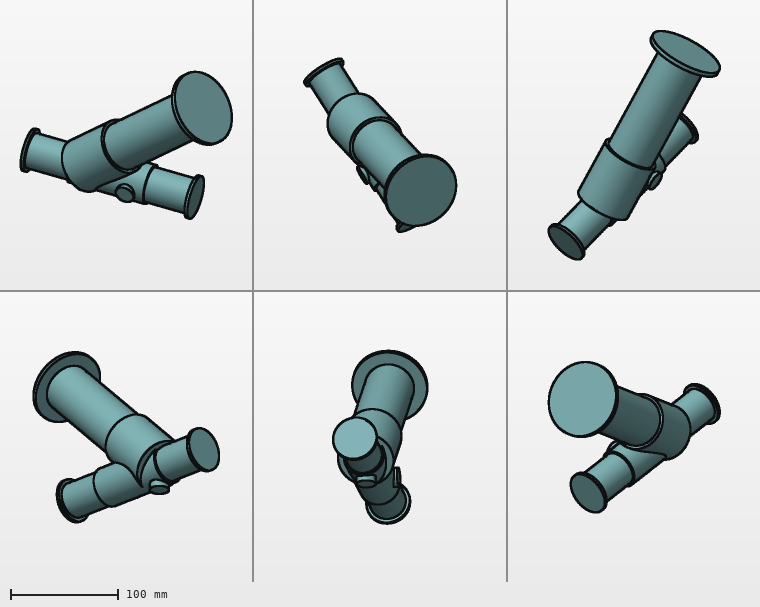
import cadquery as cq
import math

RUN_LENGTH = 167.0
RUN_DIAMETER = 34.0
END_FLANGE_DIAMETER = 41.0
END_FLANGE_THICKNESS = 3.0
BODY_DIAMETER = 38.0
BODY_START = 45.7
BODY_LENGTH = 76.2

OVERALL_X = 199.5
BRANCH_ANGLE = 45.0
BRANCH_START = 54.3
SLEEVE_DIAMETER = 52.0
SLEEVE_LENGTH = 56.3
TUBE_DIAMETER = 46.0
BRANCH_FLANGE_DIAMETER = 70.0
BRANCH_FLANGE_THICKNESS = 4.4

PORT_DIAMETER = 18.0
DRAIN_X = 56.5
SIDE_PORT_X = 104.5
OVERALL_Z = 169.0
SIDE_PORT_REACH = 21.5

cosine = math.cos(math.radians(BRANCH_ANGLE))
sine = math.sin(math.radians(BRANCH_ANGLE))

flange_radius = BRANCH_FLANGE_DIAMETER / 2
branch_length = (OVERALL_X - BRANCH_START - flange_radius * sine) / cosine
flange_top = branch_length * sine + flange_radius * cosine
drain_reach = OVERALL_Z - flange_top

RUN_DIRECTION = cq.Vector(1, 0, 0)
BRANCH_DIRECTION = cq.Vector(cosine, 0, sine)
BRANCH_ORIGIN = cq.Vector(BRANCH_START, 0, 0)


def cylinder(origin, direction, diameter, length, offset=0):
    """Solid cylinder starting at an offset from origin along direction."""
    base = origin + direction * offset
    return cq.Workplane(cq.Solid.makeCylinder(diameter / 2, length, base, direction))


def make_run():
    origin = cq.Vector(0, 0, 0)
    run = cylinder(origin, RUN_DIRECTION, RUN_DIAMETER, RUN_LENGTH)
    run = run.union(cylinder(origin, RUN_DIRECTION, BODY_DIAMETER, BODY_LENGTH, BODY_START))
    for offset in (0, RUN_LENGTH - END_FLANGE_THICKNESS):
        flange = cylinder(origin, RUN_DIRECTION, END_FLANGE_DIAMETER, END_FLANGE_THICKNESS, offset)
        run = run.union(flange)
    return run


def make_branch():
    sleeve = cylinder(BRANCH_ORIGIN, BRANCH_DIRECTION, SLEEVE_DIAMETER, SLEEVE_LENGTH)
    tube = cylinder(BRANCH_ORIGIN, BRANCH_DIRECTION, TUBE_DIAMETER, branch_length)
    flange = cylinder(
        BRANCH_ORIGIN,
        BRANCH_DIRECTION,
        BRANCH_FLANGE_DIAMETER,
        BRANCH_FLANGE_THICKNESS,
        branch_length - BRANCH_FLANGE_THICKNESS,
    )
    return sleeve.union(tube).union(flange)


def make_port(x, direction, reach):
    """Port reaching outward from the run axis."""
    return cylinder(cq.Vector(x, 0, 0), direction, PORT_DIAMETER, reach)


drain = make_port(DRAIN_X, cq.Vector(0, 0, -1), drain_reach)
side_port = make_port(SIDE_PORT_X, cq.Vector(0, -1, 0), SIDE_PORT_REACH)

result = make_run().union(make_branch()).union(drain).union(side_port)